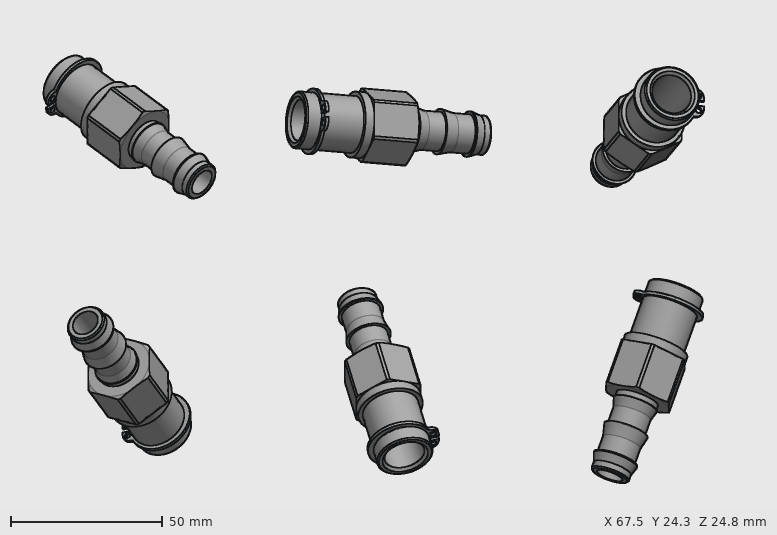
import cadquery as cq
import math


spigot_dia = 19.0
spigot_chamfer = 0.5
groove_dia = 18.0
groove_start = 5.2
groove_end = 6.4
collar_start = 20.4
collar_dia = 22.0

hex_start = 23.5
hex_end = 39.5
hex_across_flats = 22.0
hex_corner_dia = 24.8
hex_bevel_length = 0.4

overall_length = 67.5
stub_dia = 14.5
tail_dia = 13.15
tail_chamfer = 0.5
barb_dia = 15.2
barbs = [
    (41.5, 41.5, 45.0),
    (51.0, 51.15, 55.45),
    (61.5, 61.9, 64.95),
]

through_dia = 9.0
bore_dia = 13.6
bore_mouth_dia = 15.5
bore_mouth_depth = 1.0
bore_depth = 34.0
drill_point_angle = 118.0

ring_thickness = 1.1
ring_dia = 21.8
ring_offset = 0.5
ring_gap = 1.9
lug_reach = 12.9
lug_half_width = 5.0
lug_corner_radius = 3.0
lug_corner_z = 2.55
lug_root_fillet = 0.5
lug_hole_dia = 2.0
lug_hole_y = -10.85
lug_hole_z = 2.6


def cylinder(diameter, start, end):
    """Solid cylinder on the X axis between two X positions."""
    return cq.Workplane("YZ", origin=(start, 0, 0)).circle(diameter / 2).extrude(end - start)


def revolve_profile(points):
    """Turn a closed (x, radius) outline about the X axis."""
    return cq.Workplane("XY").polyline(points).close().revolve(360, (0, 0, 0), (1, 0, 0))


def make_spigot():
    spigot = cylinder(spigot_dia, 0, collar_start).faces("<X").chamfer(spigot_chamfer)
    groove = cylinder(spigot_dia, groove_start, groove_end).cut(
        cylinder(groove_dia, groove_start, groove_end)
    )
    return spigot.cut(groove).union(cylinder(collar_dia, collar_start, hex_start))


def make_hexagon():
    """Hexagon with flats facing +Y and -Y, its corners turned and its tail end bevelled."""
    hex_length = hex_end - hex_start
    across_corners = hex_across_flats / math.cos(math.radians(30))
    prism = (
        cq.Workplane("YZ", origin=(hex_start, 0, 0))
        .transformed(rotate=(0, 0, 90))
        .polygon(6, across_corners)
        .extrude(hex_length)
    )
    turned_blank = revolve_profile([
        (hex_start, 0),
        (hex_start, hex_corner_dia / 2),
        (hex_end - hex_bevel_length, hex_corner_dia / 2),
        (hex_end, hex_across_flats / 2),
        (hex_end, 0),
    ])
    return prism.intersect(turned_blank)


def make_tail():
    first_crest = barbs[0][0]
    points = [(hex_end, 0), (hex_end, stub_dia / 2), (first_crest, stub_dia / 2)]
    for crest_start, crest_end, taper_end in barbs:
        if crest_start > first_crest:
            points.append((crest_start, tail_dia / 2))
        points.append((crest_start, barb_dia / 2))
        if crest_end > crest_start:
            points.append((crest_end, barb_dia / 2))
        points.append((taper_end, tail_dia / 2))
    points.append((overall_length - tail_chamfer, tail_dia / 2))
    points.append((overall_length, tail_dia / 2 - tail_chamfer))
    points.append((overall_length, 0))
    return revolve_profile(points)


def make_bore():
    """Mouth chamfer, wide bore with a drill-point bottom, and the through hole."""
    step = (bore_dia - through_dia) / 2
    point_length = step / math.tan(math.radians(drill_point_angle / 2))
    return revolve_profile([
        (0, 0),
        (0, bore_mouth_dia / 2),
        (bore_mouth_depth, bore_dia / 2),
        (bore_depth, bore_dia / 2),
        (bore_depth + point_length, through_dia / 2),
        (overall_length, through_dia / 2),
        (overall_length, 0),
    ])


def make_retaining_ring():
    ring_plane = cq.Workplane("YZ", origin=(groove_end - ring_thickness, 0, 0))
    band = ring_plane.center(ring_offset, 0).circle(ring_dia / 2).extrude(ring_thickness)

    corner_y = -math.sqrt(lug_reach**2 - lug_corner_z**2)
    round_z = lug_half_width - lug_corner_radius
    round_y = corner_y + math.sqrt(lug_corner_radius**2 - (lug_corner_z - round_z) ** 2)
    round_mid = lug_corner_radius * math.sqrt(0.5)
    mid_y = round_y - round_mid
    mid_z = round_z + round_mid
    lugs = (
        ring_plane
        .moveTo(0, lug_half_width)
        .lineTo(round_y, lug_half_width)
        .threePointArc((mid_y, mid_z), (corner_y, lug_corner_z))
        .threePointArc((-lug_reach, 0), (corner_y, -lug_corner_z))
        .threePointArc((mid_y, -mid_z), (round_y, -lug_half_width))
        .lineTo(0, -lug_half_width)
        .close()
        .extrude(ring_thickness)
    )
    ring = band.union(lugs)

    root_y = ring_offset - math.sqrt((ring_dia / 2) ** 2 - lug_half_width**2)
    for root_z in (-lug_half_width, lug_half_width):
        root = cq.selectors.NearestToPointSelector((groove_end - ring_thickness / 2, root_y, root_z))
        ring = ring.edges("|X").edges(root).fillet(lug_root_fillet)

    holes = (
        ring_plane
        .pushPoints([(lug_hole_y, lug_hole_z), (lug_hole_y, -lug_hole_z)])
        .circle(lug_hole_dia / 2)
        .extrude(ring_thickness)
    )
    gap = ring_plane.center(-lug_reach / 2, 0).rect(lug_reach, ring_gap).extrude(ring_thickness)
    groove_core = ring_plane.circle(groove_dia / 2).extrude(ring_thickness)
    return ring.cut(holes).cut(gap).cut(groove_core)


body = make_spigot().union(make_hexagon()).union(make_tail()).cut(make_bore())
result = body.union(make_retaining_ring())